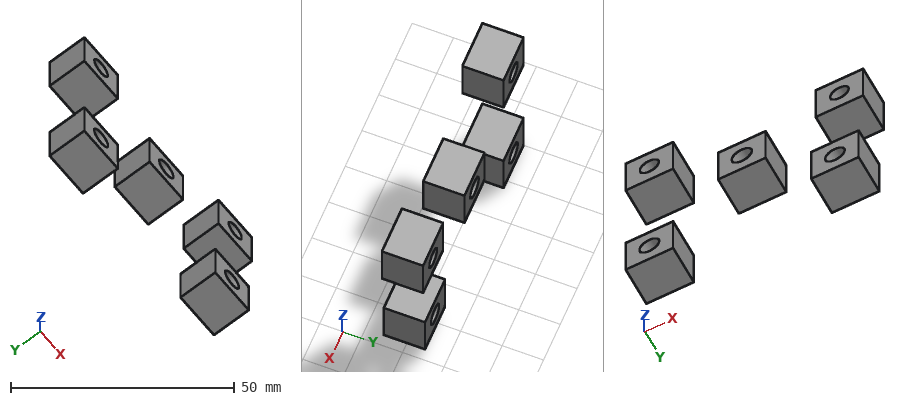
import cadquery as cq

GROUP_WIDTH = 60.1
GROUP_HEIGHT = 47.65

BLOCK_SIDE = 12.0
BLOCK_DEPTH = 10.0

EDGE_X = (GROUP_WIDTH - BLOCK_SIDE) / 2
EDGE_Z = (GROUP_HEIGHT - BLOCK_SIDE) / 2

MIDDLE_OFFSET_X = 23.4
MIDDLE_OFFSET_Z = 14.05
LOWER_RIGHT_INSET_X = 1.15
LOWER_RIGHT_RISE_Z = 2.8
UPPER_RIGHT_DROP_Z = 6.0

BLOCKS = [
    (-EDGE_X, EDGE_Z, 4.8),
    (-EDGE_X, -EDGE_Z, 5.0),
    (-EDGE_X + MIDDLE_OFFSET_X, EDGE_Z - MIDDLE_OFFSET_Z, 5.1),
    (EDGE_X, EDGE_Z - UPPER_RIGHT_DROP_Z, 4.7),
    (EDGE_X - LOWER_RIGHT_INSET_X, -EDGE_Z + LOWER_RIGHT_RISE_Z, 4.9),
]


def make_bored_block(center_x, center_z, bore_diameter):
    """Square block centered at (center_x, 0, center_z) with a through bore along Y."""
    block = (
        cq.Workplane("XZ")
        .rect(BLOCK_SIDE, BLOCK_SIDE)
        .circle(bore_diameter / 2)
        .extrude(BLOCK_DEPTH / 2, both=True)
    )
    return block.translate((center_x, 0, center_z))


bored_blocks = []
for center_x, center_z, bore_diameter in BLOCKS:
    bored_blocks.append(make_bored_block(center_x, center_z, bore_diameter).val())

result = cq.Compound.makeCompound(bored_blocks)